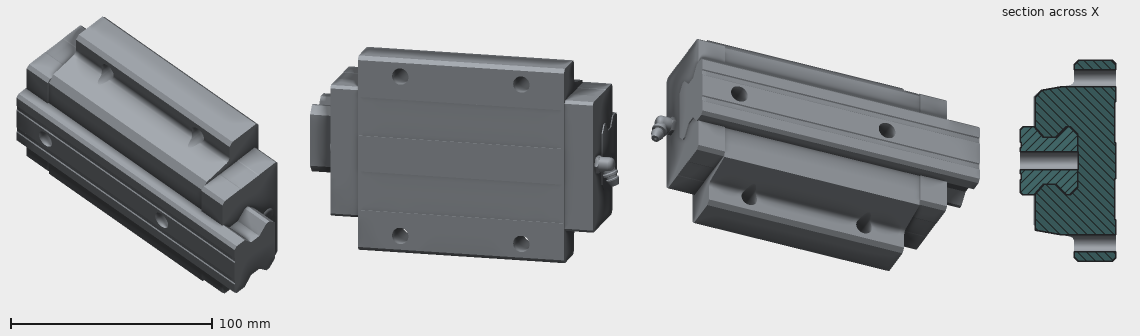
import cadquery as cq
import math


TOTAL_LENGTH = 160.9
TOTAL_HEIGHT = 48.0

RAIL_LENGTH = 150.1
RAIL_START = TOTAL_LENGTH - RAIL_LENGTH
RAIL_HEIGHT = 29.0
RAIL_HALF_WIDTH = 17.0
RAIL_NECK_HALF_WIDTH = 11.9
RAIL_TOP_HALF_WIDTH = 13.2
RAIL_HEAD_EDGES = (25.1, 23.0)
RAIL_NECK_EDGES = (17.9, 11.9)
RAIL_BASE_HEIGHT = 7.4
RAIL_BASE_CHAMFER = 1.6
RAIL_HOLE_DIAMETER = 9.0
RAIL_HOLE_PITCH = 80.0
RAIL_FIRST_HOLE = RAIL_START + 20.0
RAIL_HOLE_COUNT = 2

BASE_GROOVE_DEPTH = 0.5
BASE_GROOVE_INNER = 6.1
BASE_GROOVE_OUTER = 9.7

BODY_START = 25.9
BODY_LENGTH = 105.7
BODY_CENTRE = BODY_START + BODY_LENGTH / 2
BODY_UNDERSIDE = 7.5
FLANGE_HALF_WIDTH = 50.0
FLANGE_THICKNESS = 20.9
FLANGE_UNDERSIDE = TOTAL_HEIGHT - FLANGE_THICKNESS
FLANGE_TOP_CHAMFER = 2.0
FLANGE_LOWER_CHAMFER = 2.1
FLANK_FOOT_HALF_WIDTH = 34.6
FLANK_ANGLE = 10.0
FLANK_FILLET = 2.7
FLANK_CHAMFER = (3.2, 3.7)
TOP_RECESS_DEPTH = 0.5
TOP_RECESS_INNER = 9.2
TOP_RECESS_OUTER = 29.1
MOUNT_HOLE_DIAMETER = 8.4
MOUNT_HOLE_PITCH_X = 62.1
MOUNT_HOLE_PITCH_Z = 82.0

CAP_LENGTH = 14.5
CAP_HALF_WIDTH = 33.6
CAP_UNDERSIDE = 6.8
CAP_TOP = 46.5
CAP_TOP_CHAMFER = 1.5
CAP_LOWER_CHAMFER = 1.8
CAP_RECESS_LOWER = 19.8
CAP_RECESS_UPPER = 33.1
CAP_RECESS_DEPTH = 0.2
CAP_RECESS_WALL = 0.5
CAP_START = BODY_START - CAP_LENGTH
CARRIAGE_END = BODY_START + BODY_LENGTH + CAP_LENGTH

NIPPLE_HEIGHT = 39.0
HEX_ACROSS_FLATS = 8.0
HEX_THICKNESS = 2.0
HEX_CHAMFER = 0.5
ELBOW_DIAMETER = 7.9
ELBOW_TIP = 2.3
ELBOW_ROUNDING = 2.4
SPOUT_ANGLE = 22.5
SPOUT_SHANK_RADIUS = 6.6 / 2
SPOUT_COLLAR_RADIUS = 7.9 / 2
SPOUT_COLLAR_BEVEL = 0.5
SPOUT_NECK_RADIUS = 5.5 / 2
SPOUT_HEAD_RADIUS = 6.6 / 2
SPOUT_SHOULDER_RADIUS = 2.5
SPOUT_COLLAR_START = 4.2
SPOUT_COLLAR_END = 5.3
SPOUT_NECK_START = 5.6
SPOUT_NECK_END = 6.9
SPOUT_HEAD_START = 7.2
SPOUT_HEAD_END = 7.9
SPOUT_SHOULDER = 9.7
SPOUT_LENGTH = 11.0
SPOUT_TIP_RADIUS = 2.1
SPOUT_BORE_RADIUS = 0.6
SPOUT_BORE_DEPTH = 1.0
PLUG_DIAMETER = 7.9
PLUG_LENGTH = 1.5
PLUG_ROUNDING = 1.3


def extrude_along_x(points, start, length):
    """Extrude a closed outline of (Y, Z) points along +X."""
    return cq.Workplane("YZ", origin=(start, 0, 0)).polyline(points).close().extrude(length)


def symmetric(half_points):
    """Complete a half outline, given on the +Z side, with its mirror image."""
    return half_points + [(y, -z) for y, z in reversed(half_points)]


def rail_outline():
    head_upper, head_lower = RAIL_HEAD_EDGES
    neck_upper, neck_lower = RAIL_NECK_EDGES
    return symmetric([
        (0, BASE_GROOVE_INNER),
        (BASE_GROOVE_DEPTH, BASE_GROOVE_INNER + BASE_GROOVE_DEPTH),
        (BASE_GROOVE_DEPTH, BASE_GROOVE_OUTER - BASE_GROOVE_DEPTH),
        (0, BASE_GROOVE_OUTER),
        (0, RAIL_HALF_WIDTH - RAIL_BASE_CHAMFER),
        (RAIL_BASE_CHAMFER, RAIL_HALF_WIDTH),
        (RAIL_BASE_HEIGHT, RAIL_HALF_WIDTH),
        (neck_lower, RAIL_NECK_HALF_WIDTH),
        (neck_upper, RAIL_NECK_HALF_WIDTH),
        (head_lower, RAIL_HALF_WIDTH),
        (head_upper, RAIL_HALF_WIDTH),
        (RAIL_HEIGHT, RAIL_TOP_HALF_WIDTH),
    ])


def rail_bar():
    return extrude_along_x(rail_outline(), RAIL_START, RAIL_LENGTH)


def make_rail():
    rail = rail_bar()
    for index in range(RAIL_HOLE_COUNT):
        x = RAIL_FIRST_HOLE + index * RAIL_HOLE_PITCH
        hole = cq.Workplane("XZ", origin=(x, 0, 0)).circle(RAIL_HOLE_DIAMETER / 2).extrude(-RAIL_HEIGHT)
        rail = rail.cut(hole)
    return rail


def flank_half_width(height):
    """Half width of the body between its sloping flanks at a height along Y."""
    return FLANK_FOOT_HALF_WIDTH + math.tan(math.radians(FLANK_ANGLE)) * (height - BODY_UNDERSIDE)


def body_outline():
    """Symmetric but for the foot of the flanks: chamfered on the +Z side, sharp on the -Z side."""
    chamfer_y, chamfer_z = FLANK_CHAMFER
    chamfer_top_z = flank_half_width(BODY_UNDERSIDE + chamfer_y)
    upper_side = [
        (FLANGE_UNDERSIDE, flank_half_width(FLANGE_UNDERSIDE)),
        (FLANGE_UNDERSIDE, FLANGE_HALF_WIDTH - FLANGE_LOWER_CHAMFER),
        (FLANGE_UNDERSIDE + FLANGE_LOWER_CHAMFER, FLANGE_HALF_WIDTH),
        (TOTAL_HEIGHT - FLANGE_TOP_CHAMFER, FLANGE_HALF_WIDTH),
        (TOTAL_HEIGHT, FLANGE_HALF_WIDTH - FLANGE_TOP_CHAMFER),
        (TOTAL_HEIGHT, TOP_RECESS_OUTER),
        (TOTAL_HEIGHT - TOP_RECESS_DEPTH, TOP_RECESS_OUTER),
        (TOTAL_HEIGHT - TOP_RECESS_DEPTH, TOP_RECESS_INNER),
        (TOTAL_HEIGHT, TOP_RECESS_INNER),
    ]
    chamfered_foot = [
        (BODY_UNDERSIDE, chamfer_top_z - chamfer_z),
        (BODY_UNDERSIDE + chamfer_y, chamfer_top_z),
    ]
    sharp_foot = [(BODY_UNDERSIDE, -FLANK_FOOT_HALF_WIDTH)]
    return chamfered_foot + symmetric(upper_side) + sharp_foot


def make_body():
    body = extrude_along_x(body_outline(), BODY_START, BODY_LENGTH)
    for side in (1, -1):
        corner = (BODY_CENTRE, FLANGE_UNDERSIDE, side * flank_half_width(FLANGE_UNDERSIDE))
        body = body.edges(cq.selectors.NearestToPointSelector(corner)).fillet(FLANK_FILLET)
    mount_holes = (
        cq.Workplane("XZ", origin=(BODY_CENTRE, 0, 0))
        .rarray(MOUNT_HOLE_PITCH_X, MOUNT_HOLE_PITCH_Z, 2, 2)
        .circle(MOUNT_HOLE_DIAMETER / 2)
        .extrude(-TOTAL_HEIGHT)
    )
    return body.cut(mount_holes)


def make_cap(start):
    recess_half_width = CAP_HALF_WIDTH - CAP_RECESS_DEPTH
    outline = symmetric([
        (CAP_UNDERSIDE, CAP_HALF_WIDTH - CAP_LOWER_CHAMFER),
        (CAP_UNDERSIDE + CAP_LOWER_CHAMFER, CAP_HALF_WIDTH),
        (CAP_RECESS_LOWER, CAP_HALF_WIDTH),
        (CAP_RECESS_LOWER + CAP_RECESS_WALL, recess_half_width),
        (CAP_RECESS_UPPER - CAP_RECESS_WALL, recess_half_width),
        (CAP_RECESS_UPPER, CAP_HALF_WIDTH),
        (CAP_TOP - CAP_TOP_CHAMFER, CAP_HALF_WIDTH),
        (CAP_TOP, CAP_HALF_WIDTH - CAP_TOP_CHAMFER),
    ])
    return extrude_along_x(outline, start, CAP_LENGTH)


def make_spout():
    """Turned spout about its own axis, then leaned and moved onto the elbow."""
    half_outline = [
        (0, 0),
        (SPOUT_SHANK_RADIUS, 0),
        (SPOUT_SHANK_RADIUS, SPOUT_COLLAR_START - SPOUT_COLLAR_BEVEL),
        (SPOUT_COLLAR_RADIUS, SPOUT_COLLAR_START),
        (SPOUT_COLLAR_RADIUS, SPOUT_COLLAR_END),
        (SPOUT_NECK_RADIUS, SPOUT_NECK_START),
        (SPOUT_NECK_RADIUS, SPOUT_NECK_END),
        (SPOUT_HEAD_RADIUS, SPOUT_HEAD_START),
        (SPOUT_HEAD_RADIUS, SPOUT_HEAD_END),
        (SPOUT_SHOULDER_RADIUS, SPOUT_SHOULDER),
        (SPOUT_TIP_RADIUS, SPOUT_LENGTH),
        (SPOUT_BORE_RADIUS, SPOUT_LENGTH),
        (SPOUT_BORE_RADIUS, SPOUT_LENGTH - SPOUT_BORE_DEPTH),
        (0, SPOUT_LENGTH - SPOUT_BORE_DEPTH),
    ]
    spout = cq.Workplane("XZ").polyline([(radius, -distance) for radius, distance in half_outline]).close()
    spout = spout.revolve(360, (0, 0, 0), (0, 1, 0))
    spout = spout.rotate((0, 0, 0), (0, 1, 0), SPOUT_ANGLE)
    lean = math.radians(SPOUT_ANGLE)
    root_x = SPOUT_LENGTH * math.sin(lean) + SPOUT_TIP_RADIUS * math.cos(lean)
    return spout.translate((root_x, NIPPLE_HEIGHT, 0))


def make_nipple():
    hex_corner_diameter = HEX_ACROSS_FLATS / math.cos(math.radians(30))
    hex_base = cq.Workplane("YZ", origin=(CAP_START - HEX_THICKNESS, NIPPLE_HEIGHT, 0))
    hexagon = hex_base.polygon(6, hex_corner_diameter).extrude(HEX_THICKNESS)
    corner_rounding = (
        hex_base.circle(hex_corner_diameter / 2)
        .extrude(HEX_THICKNESS)
        .faces("<X")
        .chamfer(HEX_CHAMFER)
    )
    hexagon = hexagon.intersect(corner_rounding)
    elbow = (
        cq.Workplane("YZ", origin=(ELBOW_TIP, NIPPLE_HEIGHT, 0))
        .circle(ELBOW_DIAMETER / 2)
        .extrude(CAP_START - ELBOW_TIP)
        .faces("<X")
        .edges()
        .fillet(ELBOW_ROUNDING)
    )
    return hexagon.union(elbow).union(make_spout())


def make_plug():
    return (
        cq.Workplane("YZ", origin=(CARRIAGE_END, NIPPLE_HEIGHT, 0))
        .circle(PLUG_DIAMETER / 2)
        .extrude(PLUG_LENGTH)
        .faces(">X")
        .edges()
        .fillet(PLUG_ROUNDING)
    )


def make_carriage():
    """Body, both caps, nipple and plug in one solid, with a channel that fits the rail."""
    carriage = make_body()
    for start in (CAP_START, BODY_START + BODY_LENGTH):
        carriage = carriage.union(make_cap(start))
    carriage = carriage.cut(rail_bar())
    return carriage.union(make_nipple()).union(make_plug())


rail = make_rail()
carriage = make_carriage()

result = cq.Compound.makeCompound([rail.val(), carriage.val()])